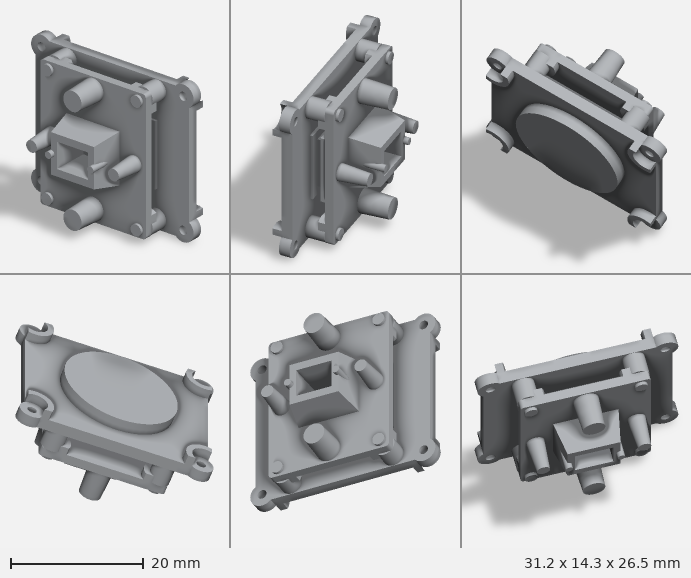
import cadquery as cq

BACK_PLATE_THICKNESS = 1.8
BACK_RIM_DEPTH = 1.53
DISC_THICKNESS = 1.95
PLATE_GAP = 3.25
FRONT_PLATE_THICKNESS = 1.45
FRONT_RIM_DEPTH = 1.15
FRONT_PLATE_BACK = -PLATE_GAP
FRONT_FACE = FRONT_PLATE_BACK - FRONT_PLATE_THICKNESS

OVERALL_WIDTH = 31.25
OVERALL_HEIGHT = 26.5
BACK_WIDTH = 29.5
BACK_HEIGHT = 25.25
EAR_DIAMETER = 4.0
EAR_HOLE_DIAMETER = 1.5
EAR_SPAN_X = OVERALL_WIDTH - EAR_DIAMETER
EAR_SPAN_Z = OVERALL_HEIGHT - EAR_DIAMETER

RIM_THICKNESS = 1.0

DISC_DIAMETER = 18.25

FRONT_WIDTH = 20.28
FRONT_HEIGHT = 24.38
FRONT_CORNER_RADIUS = 0.6

POST_DIAMETER = 3.5
POST_TIP_DIAMETER = 2.0
POST_TIP_PROJECTION = 0.5
POST_SPAN_X = 17.2
POST_SPAN_Z = 21.62

NOZZLE_LENGTH = 5
NOZZLE_BASE_WIDTH = 10.2
NOZZLE_BASE_HEIGHT = 9.05
NOZZLE_INSET = 0.97
OPENING_WIDTH = 6.0
OPENING_HEIGHT = 4.6
LARGE_PEG_BASE_DIAMETER = 4.0
LARGE_PEG_TIP_DIAMETER = 3.5
LARGE_PEG_SPAN_Z = 19.95
SMALL_PEG_BASE_DIAMETER = 2.85
SMALL_PEG_TIP_DIAMETER = 2.05
SMALL_PEG_SPAN_X = 15.75
PIN_DIAMETER = 1.2
PIN_PROJECTION = 0.8
PIN_SPAN_X = 8.12

SPOOL_WIDTH = 17.3
SPOOL_HEIGHT = 11.5
SPOOL_NECK_INSET = 1.5
SPOOL_BACK_FLANGE = 0.5
SPOOL_FRONT_FLANGE = 1.5


def facing_front(y):
    """Workplane at the given y that extrudes towards -Y, with local axes X and Z."""
    return cq.Workplane("XZ", origin=(0, y, 0))


def block(width, height, y_back, y_front):
    return facing_front(y_back).rect(width, height).extrude(y_back - y_front)


def cylinders(points, diameter, y_back, y_front):
    return facing_front(y_back).pushPoints(points).circle(diameter / 2).extrude(y_back - y_front)


def corners(span_x, span_z):
    return [(sx * span_x / 2, sz * span_z / 2) for sx in (-1, 1) for sz in (-1, 1)]


def corner_rims(span_x, span_z, inner_diameter, width, height, y_back, y_front):
    """Arc-shaped walls around the corner points, trimmed to the outline of the plate.

    The outer quarter of each ring, towards the corner of the plate, is left open.
    """
    points = corners(span_x, span_z)
    outer_diameter = inner_diameter + 2 * RIM_THICKNESS
    rings = cylinders(points, outer_diameter, y_back, y_front)
    rings = rings.cut(cylinders(points, inner_diameter, y_back, y_front))
    cross = block(span_x, height, y_back, y_front).union(block(width, span_z, y_back, y_front))
    return rings.intersect(cross)


def peg(x, z, base_diameter, tip_diameter):
    """Tapered round peg standing on the front face, as long as the nozzle."""
    return (
        facing_front(FRONT_FACE)
        .center(x, z)
        .circle(base_diameter / 2)
        .workplane(offset=NOZZLE_LENGTH)
        .circle(tip_diameter / 2)
        .loft(ruled=True)
    )


def make_back_plate():
    ears = corners(EAR_SPAN_X, EAR_SPAN_Z)
    back = BACK_PLATE_THICKNESS
    plate = block(BACK_WIDTH, BACK_HEIGHT, back, 0)
    plate = plate.union(cylinders(ears, EAR_DIAMETER, back, 0))
    plate = plate.cut(cylinders(ears, EAR_HOLE_DIAMETER, back, 0))
    rims = corner_rims(
        EAR_SPAN_X, EAR_SPAN_Z, EAR_DIAMETER, BACK_WIDTH, BACK_HEIGHT, back + BACK_RIM_DEPTH, back
    )
    return plate.union(rims)


def make_disc():
    disc_back = BACK_PLATE_THICKNESS + DISC_THICKNESS
    return cylinders([(0, 0)], DISC_DIAMETER, disc_back, BACK_PLATE_THICKNESS)


def make_nozzle():
    return (
        facing_front(FRONT_FACE)
        .rect(NOZZLE_BASE_WIDTH, NOZZLE_BASE_HEIGHT)
        .workplane(offset=NOZZLE_LENGTH)
        .rect(NOZZLE_BASE_WIDTH - 2 * NOZZLE_INSET, NOZZLE_BASE_HEIGHT - 2 * NOZZLE_INSET)
        .loft(ruled=True)
    )


def make_front_plate():
    posts = corners(POST_SPAN_X, POST_SPAN_Z)
    nozzle_end = FRONT_FACE - NOZZLE_LENGTH
    plate = block(FRONT_WIDTH, FRONT_HEIGHT, FRONT_PLATE_BACK, FRONT_FACE)
    plate = plate.edges("|Y").fillet(FRONT_CORNER_RADIUS)
    rim_back = FRONT_PLATE_BACK + FRONT_RIM_DEPTH
    rims = corner_rims(
        POST_SPAN_X, POST_SPAN_Z, POST_DIAMETER, FRONT_WIDTH, FRONT_HEIGHT, rim_back, FRONT_PLATE_BACK
    )
    plate = plate.union(rims)
    plate = plate.cut(cylinders(posts, POST_TIP_DIAMETER, FRONT_PLATE_BACK, FRONT_FACE))

    plate = plate.union(make_nozzle())
    for side in (-1, 1):
        large_z = side * LARGE_PEG_SPAN_Z / 2
        small_x = side * SMALL_PEG_SPAN_X / 2
        plate = plate.union(peg(0, large_z, LARGE_PEG_BASE_DIAMETER, LARGE_PEG_TIP_DIAMETER))
        plate = plate.union(peg(small_x, 0, SMALL_PEG_BASE_DIAMETER, SMALL_PEG_TIP_DIAMETER))

    pins = [(-PIN_SPAN_X / 2, 0), (PIN_SPAN_X / 2, 0)]
    plate = plate.union(cylinders(pins, PIN_DIAMETER, FRONT_FACE, nozzle_end - PIN_PROJECTION))

    return plate.cut(block(OPENING_WIDTH, OPENING_HEIGHT, FRONT_PLATE_BACK, nozzle_end))


def make_post(x, z):
    """Stepped post: a thick spacer with a thin tip that passes through the front plate."""
    spacer = cylinders([(x, z)], POST_DIAMETER, 0, FRONT_PLATE_BACK)
    tip_end = FRONT_FACE - POST_TIP_PROJECTION
    return spacer.union(cylinders([(x, z)], POST_TIP_DIAMETER, FRONT_PLATE_BACK, tip_end))


def make_spool():
    """Rectangular spool: a thin flange, a narrower neck and a thick flange."""
    neck_back = -SPOOL_BACK_FLANGE
    neck_front = FRONT_PLATE_BACK + SPOOL_FRONT_FLANGE
    neck_width = SPOOL_WIDTH - 2 * SPOOL_NECK_INSET
    neck_height = SPOOL_HEIGHT - 2 * SPOOL_NECK_INSET
    spool = block(SPOOL_WIDTH, SPOOL_HEIGHT, 0, neck_back)
    spool = spool.union(block(neck_width, neck_height, neck_back, neck_front))
    return spool.union(block(SPOOL_WIDTH, SPOOL_HEIGHT, neck_front, FRONT_PLATE_BACK))


back_plate = make_back_plate()
disc = make_disc()
front_plate = make_front_plate()
spool = make_spool()
posts = [make_post(x, z) for x, z in corners(POST_SPAN_X, POST_SPAN_Z)]

result = cq.Compound.makeCompound(
    [
        back_plate.solids().val(),
        disc.solids().val(),
        front_plate.solids().val(),
        spool.solids().val(),
        *[post.solids().val() for post in posts],
    ]
)